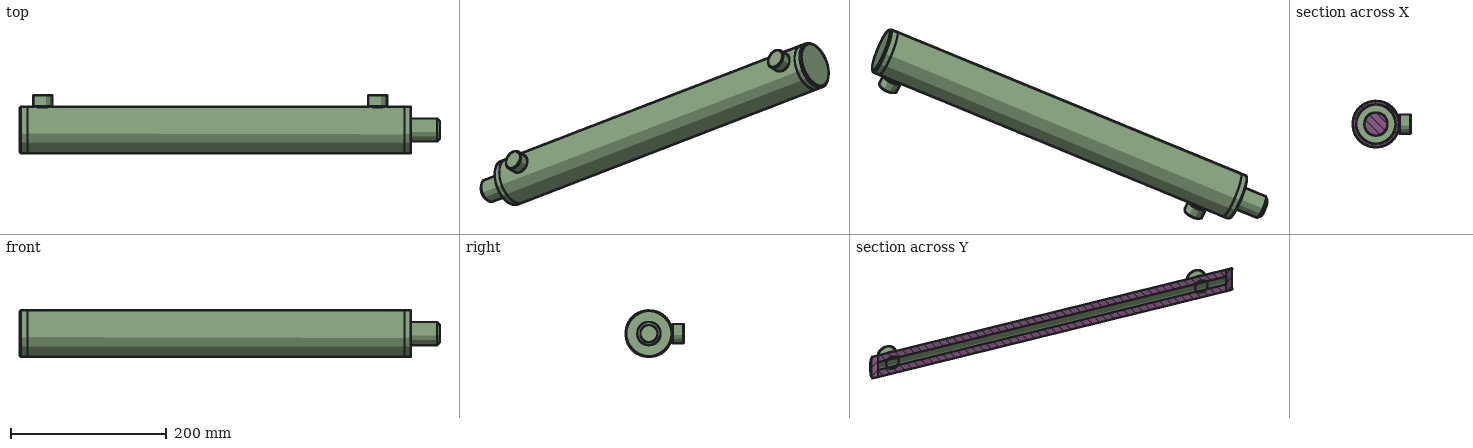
import cadquery as cq

barrel_diameter = 60.0
bore_diameter = 50.0
body_length = 503.0
overall_length = 540.0

cap_length = 10.0
cap_chamfer = 2.0
gland_length = 8.5
gland_chamfer = 1.0
barrel_start = cap_length
barrel_end = body_length - gland_length

rod_diameter = 30.0
rod_tip_chamfer = 4.0

port_diameter = 25.0
port_height = 15.0
port_chamfer = 1.0
spigot_diameter = 18.0
port_seat = barrel_diameter / 2
port_face = port_seat + port_height
port_positions = (30.0, 460.0)


def axial_cylinder(diameter, start, end):
    """Solid cylinder on the X axis between two X positions."""
    return cq.Workplane("YZ", origin=(start, 0, 0)).circle(diameter / 2).extrude(end - start)


def radial_cylinder(x, diameter, inner, outer):
    """Solid cylinder along Y, at a given X, between two Y positions."""
    return cq.Workplane("XZ", origin=(x, outer, 0)).circle(diameter / 2).extrude(outer - inner)


def make_spigot(x):
    """Spigot from the bore surface up to the port boss."""
    spigot = radial_cylinder(x, spigot_diameter, 0, port_seat)
    return spigot.cut(axial_cylinder(bore_diameter, barrel_start, barrel_end))


def make_cap():
    cap = axial_cylinder(barrel_diameter, 0, cap_length)
    return cap.faces("<X").chamfer(cap_chamfer)


def make_barrel():
    barrel = axial_cylinder(barrel_diameter, barrel_start, barrel_end)
    barrel = barrel.cut(axial_cylinder(bore_diameter, barrel_start, barrel_end))
    for x in port_positions:
        barrel = barrel.cut(make_spigot(x))
    return barrel


def make_gland():
    gland = axial_cylinder(barrel_diameter, barrel_end, body_length)
    gland = gland.faces(">X").chamfer(gland_chamfer)
    return gland.cut(axial_cylinder(rod_diameter, barrel_end, body_length))


def make_rod():
    rod = axial_cylinder(rod_diameter, cap_length, overall_length)
    return rod.faces(">X").chamfer(rod_tip_chamfer)


def make_port(x):
    """Boss chamfered at both ends, with its spigot in the barrel wall."""
    boss = radial_cylinder(x, port_diameter, port_seat, port_face)
    boss = boss.edges("%CIRCLE").chamfer(port_chamfer)
    return boss.union(make_spigot(x))


cap = make_cap()
barrel = make_barrel()
gland = make_gland()
rod = make_rod()
ports = [make_port(x) for x in port_positions]

result = cq.Compound.makeCompound(
    [cap.val(), barrel.val(), gland.val(), rod.val(), *[port.val() for port in ports]]
)